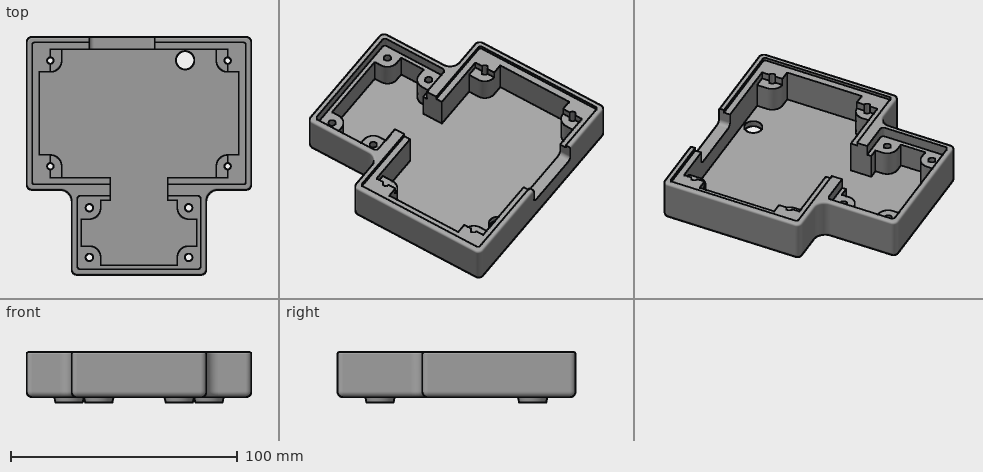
import cadquery as cq

main_width = 99.22
total_length = 105.1
body_height = 20.0
front_width = 59.5
back_y = total_length / 2
front_y = -total_length / 2
main_length = 67.6
shoulder_y = back_y - main_length
corner_radius = 2.5
inside_corner_radius = 5.0
bottom_edge_radius = 2.5
top_edge_radius = 1.0

floor_z = 3.0
main_ledge_z = 18.5
boss_top_z = 15.0
front_ledge_z = boss_top_z
rim_width = 2.5
boss_radius = 5.0

main_recess_corner_radius = 1.0
main_cavity_width = 87.8
main_wall_thickness = 5.5
main_cavity_back_y = back_y - main_wall_thickness
main_cavity_front_y = shoulder_y + main_wall_thickness
main_boss_x = 39.11
main_boss_front_y = main_cavity_front_y + boss_radius
main_boss_back_y = main_cavity_back_y - boss_radius
main_screw_diameter = 2.75

front_recess_back_y = shoulder_y - rim_width
front_recess_corner_radius = 1.5
front_cavity_width = 50.8
front_ledge_width = 1.95
front_cavity_back_y = front_recess_back_y - front_ledge_width
front_cavity_front_y = front_y + rim_width + front_ledge_width
front_boss_x = 21.9
front_boss_inset = 3.35
front_boss_back_y = front_cavity_back_y - front_boss_inset
front_boss_front_y = front_cavity_front_y + front_boss_inset
front_screw_diameter = 3.2

passage_width = 25.2

notch_left_x = -21.85
notch_right_x = 7.0
notch_floor_z = 11.9
notch_corner_radius = 2.0

floor_hole_x = 20.35
floor_hole_y = 42.2
floor_hole_diameter = 8.0

foot_height = 2.5
foot_top_diameter = 13.1
foot_bottom_diameter = 12.0
foot_edge_chamfer = 0.3
back_foot_x = 30.85
back_foot_y = 33.6
front_foot_x = 17.75
front_foot_y = -33.75


def block(width, y_front, y_back, z_low, z_high):
    """Box centred on the YZ plane, spanning the given Y and Z ranges."""
    return (
        cq.Workplane("XY")
        .box(width, y_back - y_front, z_high - z_low, centered=(True, False, False))
        .translate((0, y_front, z_low))
    )


def cylinder(x, y, diameter, z_low, z_high):
    return (
        cq.Workplane("XY", origin=(x, y, z_low))
        .circle(diameter / 2)
        .extrude(z_high - z_low)
    )


def corner_points(half_x, y_front, y_back):
    return [(x, y) for x in (-half_x, half_x) for y in (y_front, y_back)]


def rounded_prism(width, y_front, y_back, z_low, z_high, radius):
    return block(width, y_front, y_back, z_low, z_high).edges("|Z").fillet(radius)


def make_body():
    """Solid T-shaped block with rounded corners and edges."""
    main = rounded_prism(main_width, shoulder_y, back_y, 0, body_height, corner_radius)
    front = rounded_prism(front_width, front_y, back_y - corner_radius, 0, body_height, corner_radius)
    body = main.union(front)
    reach_x = front_width / 2 + corner_radius
    inside_corners = cq.selectors.BoxSelector(
        (-reach_x, shoulder_y - corner_radius, 0),
        (reach_x, shoulder_y + corner_radius, body_height),
    )
    body = body.edges("|Z").edges(inside_corners).fillet(inside_corner_radius)
    body = body.faces("<Z").edges().fillet(bottom_edge_radius)
    return body.faces(">Z").edges().fillet(top_edge_radius)


def cut_main_bay(body):
    """Lid recess and cavity; the corners keep ledge-high blocks fronted by lower round bosses."""
    recess = rounded_prism(
        main_width - 2 * rim_width,
        shoulder_y + rim_width,
        back_y - rim_width,
        main_ledge_z,
        body_height,
        main_recess_corner_radius,
    )
    central = block(2 * main_boss_x, main_cavity_front_y, main_cavity_back_y, floor_z, main_ledge_z)
    wide = block(
        main_cavity_width,
        main_boss_front_y + boss_radius,
        main_boss_back_y - boss_radius,
        floor_z,
        main_ledge_z,
    )
    cavity = central.union(wide)
    for x, y in corner_points(main_boss_x, main_boss_front_y, main_boss_back_y):
        end = 1 if y > main_boss_front_y else -1
        cavity = cavity.cut(cylinder(x, y, 2 * boss_radius, floor_z, boss_top_z))
        web = block(2 * boss_radius, -boss_radius, boss_radius, floor_z, boss_top_z)
        cavity = cavity.cut(web.translate((x, y + end * boss_radius, 0)))
    return body.cut(recess).cut(cavity)


def cut_front_bay(body):
    """Deeper recess and a cavity with a boss filling each corner."""
    recess = rounded_prism(
        front_width - 2 * rim_width,
        front_y + rim_width,
        front_recess_back_y,
        front_ledge_z,
        body_height,
        front_recess_corner_radius,
    )
    cavity = block(
        front_cavity_width, front_cavity_front_y, front_cavity_back_y, floor_z, front_ledge_z
    )
    for x, y in corner_points(front_boss_x, front_boss_front_y, front_boss_back_y):
        side = 1 if x > 0 else -1
        end = 1 if y > front_boss_front_y else -1
        cavity = cavity.cut(cylinder(x, y, 2 * boss_radius, floor_z, front_ledge_z))
        web = block(2 * boss_radius, -boss_radius, boss_radius, floor_z, front_ledge_z)
        cavity = cavity.cut(web.translate((x + side * boss_radius, y, 0)))
        cavity = cavity.cut(web.translate((x, y + end * boss_radius, 0)))
    return body.cut(recess).cut(cavity)


def cut_passage(body):
    """Opening through the wall between the bays, down to the floor."""
    return body.cut(
        block(passage_width, front_cavity_back_y, main_cavity_front_y, floor_z, body_height)
    )


def cut_notch(body):
    """Open-topped notch through the back wall, rounded at its two lower corners."""
    width = notch_right_x - notch_left_x
    notch = block(width, main_cavity_back_y, back_y, notch_floor_z, body_height)
    notch = notch.edges("|Y and <Z").fillet(notch_corner_radius)
    return body.cut(notch.translate(((notch_left_x + notch_right_x) / 2, 0, 0)))


def drill_holes(body):
    """Screw holes through every boss and the round opening in the main floor."""
    for x, y in corner_points(main_boss_x, main_boss_front_y, main_boss_back_y):
        body = body.cut(cylinder(x, y, main_screw_diameter, 0, main_ledge_z))
    for x, y in corner_points(front_boss_x, front_boss_front_y, front_boss_back_y):
        body = body.cut(cylinder(x, y, front_screw_diameter, 0, front_ledge_z))
    return body.cut(cylinder(floor_hole_x, floor_hole_y, floor_hole_diameter, 0, floor_z))


def add_feet(body):
    """Tapered round feet with chamfered bottom edges, under the floor."""
    foot_positions = [(side * back_foot_x, back_foot_y) for side in (-1, 1)]
    foot_positions += [(side * front_foot_x, front_foot_y) for side in (-1, 1)]
    for x, y in foot_positions:
        foot = (
            cq.Workplane("XY", origin=(x, y, 0))
            .circle(foot_top_diameter / 2)
            .workplane(offset=-foot_height)
            .circle(foot_bottom_diameter / 2)
            .loft()
            .faces("<Z")
            .chamfer(foot_edge_chamfer)
        )
        body = body.union(foot)
    return body


result = make_body()
result = cut_main_bay(result)
result = cut_front_bay(result)
result = cut_passage(result)
result = cut_notch(result)
result = drill_holes(result)
result = add_feet(result)